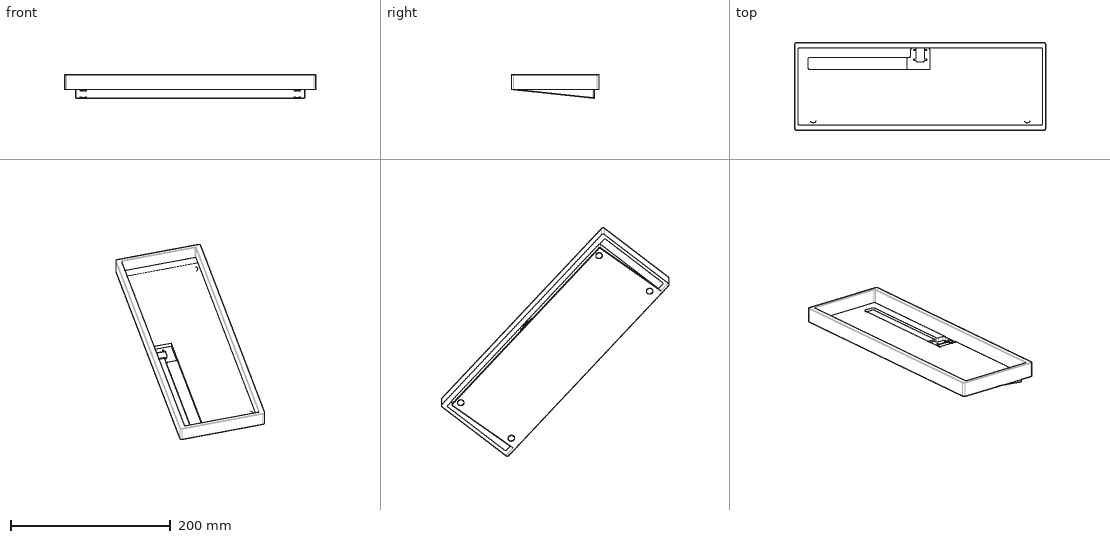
import cadquery as cq
import math

length = 314.8
width = 110.2
total_height = 29.5
tray_height = 19.0
corner_radius = 2.5

end_wall = 4.5
side_wall = 7.0
floor_thickness = 1.3
cavity_corner_radius = 1.3
rim_radius = 0.47
cavity_length = length - 2 * end_wall
cavity_width = width - 2 * side_wall
cavity_back = cavity_width / 2

foot_length = 287.7
foot_drop = total_height - tray_height
foot_back_wall = 1.0
foot_back = cavity_back + foot_back_wall
foot_corner_radius = 2.0
foot_edge_chamfer = 0.5
front_bevel = 0.3
lowest_y = foot_back - foot_edge_chamfer
slope = (foot_drop + front_bevel) / (lowest_y + width / 2)
tilt = math.degrees(math.atan(slope))

pad_diameter = 8.2
pad_depth = 1.0
pad_x = 134.0
pad_y = 41.5

channel_depth = 3.0
floor_step_x = -16.7
channel_left = -140.7
channel_back = 36.5
channel_front = 21.5
bay_depth = 5.5
bay_floor = floor_thickness - bay_depth
bay_half_width = 12.0
recess_radius = 2.2

seat_half_width = 5.5
seat_front = 31.0
seat_depth = 0.5
seat_floor = bay_floor - seat_depth
seat_radius = 2.0
leg_width = 1.6
leg_reach = 8.2
leg_rows = (45.5, 33.5)

port_width = 9.0
port_height = 3.0
port_sill = 1.0


def box(x_min, x_max, y_min, y_max, z_min, z_max):
    """Block given by its limits along each axis."""
    size = (x_max - x_min, y_max - y_min, z_max - z_min)
    return cq.Workplane("XY").box(*size, centered=False).translate((x_min, y_min, z_min))


def underside_z(y):
    """Height of the sloping plane at a given Y."""
    return front_bevel - slope * (y + width / 2)


def make_tray():
    outer = box(-length / 2, length / 2, -width / 2, width / 2, 0, tray_height)
    outer = outer.edges("|Z").fillet(corner_radius)
    cavity = box(
        -cavity_length / 2, cavity_length / 2, -cavity_back, cavity_back, floor_thickness, tray_height
    )
    tray = outer.cut(cavity.edges("|Z").fillet(cavity_corner_radius))
    return tray.faces(">Z").edges().fillet(rim_radius)


def make_slope_cutter():
    """Everything below the sloping plane."""
    front_y = -width
    back_y = foot_back
    profile = [
        (front_y, underside_z(front_y)),
        (back_y, underside_z(back_y)),
        (back_y, -2 * total_height),
        (front_y, -2 * total_height),
    ]
    return cq.Workplane("YZ").polyline(profile).close().extrude(length / 2, both=True)


def make_foot():
    foot = box(-foot_length / 2, foot_length / 2, -width / 2, foot_back, -total_height, floor_thickness / 2)
    foot = foot.edges("|Z and >Y").fillet(foot_corner_radius).cut(make_slope_cutter())
    sole = foot.faces(cq.selectors.NearestToPointSelector((0, 0, underside_z(0))))
    return sole.edges("not <Y").chamfer(foot_edge_chamfer)


def make_pads():
    upright_pad = cq.Workplane("XY").circle(pad_diameter / 2).extrude(pad_depth, both=True)
    tilted_pad = upright_pad.rotate((0, 0, 0), (1, 0, 0), -tilt)
    pads = cq.Workplane("XY")
    for x in (-pad_x, pad_x):
        for y in (-pad_y, pad_y):
            pads.add(tilted_pad.translate((x, y, underside_z(y))))
    return pads.combine()


def make_channel():
    channel_floor = floor_thickness - channel_depth
    channel = box(
        channel_left, -bay_half_width, channel_front, channel_back, channel_floor, floor_thickness
    )
    return channel.edges("|Z").edges("<X").fillet(recess_radius)


def make_bay():
    bay = box(-bay_half_width, bay_half_width, channel_front, cavity_back, bay_floor, floor_thickness)
    bay = bay.edges("|Z and >Y").fillet(recess_radius)
    approach = box(floor_step_x, 0, channel_front, channel_back, bay_floor, floor_thickness)
    approach = approach.edges("|Z and <X and >Y").fillet(recess_radius)
    bay = bay.union(approach)
    corner_point = (-bay_half_width, channel_back, bay_floor + bay_depth / 2)
    inner_corner = cq.selectors.NearestToPointSelector(corner_point)
    return bay.edges("|Z").edges(inner_corner).fillet(recess_radius)


def make_seat():
    seat = box(-seat_half_width, seat_half_width, seat_front, cavity_back, seat_floor, bay_floor)
    seat = seat.edges("|Z and <Y").fillet(seat_radius)
    for y in leg_rows:
        legs = cq.Workplane("XY", origin=(0, y, seat_floor)).slot2D(2 * leg_reach, leg_width)
        seat = seat.union(legs.extrude(seat_depth))
    return seat


def make_port():
    centre_z = seat_floor + port_sill + port_height / 2
    port = cq.Workplane("XZ", origin=(0, width / 2, centre_z)).slot2D(port_width, port_height)
    return port.extrude(side_wall)


result = (
    make_tray()
    .union(make_foot())
    .cut(make_slope_cutter())
    .cut(make_pads())
    .cut(make_channel())
    .cut(make_bay())
    .cut(make_seat())
    .cut(make_port())
    .solids()
)